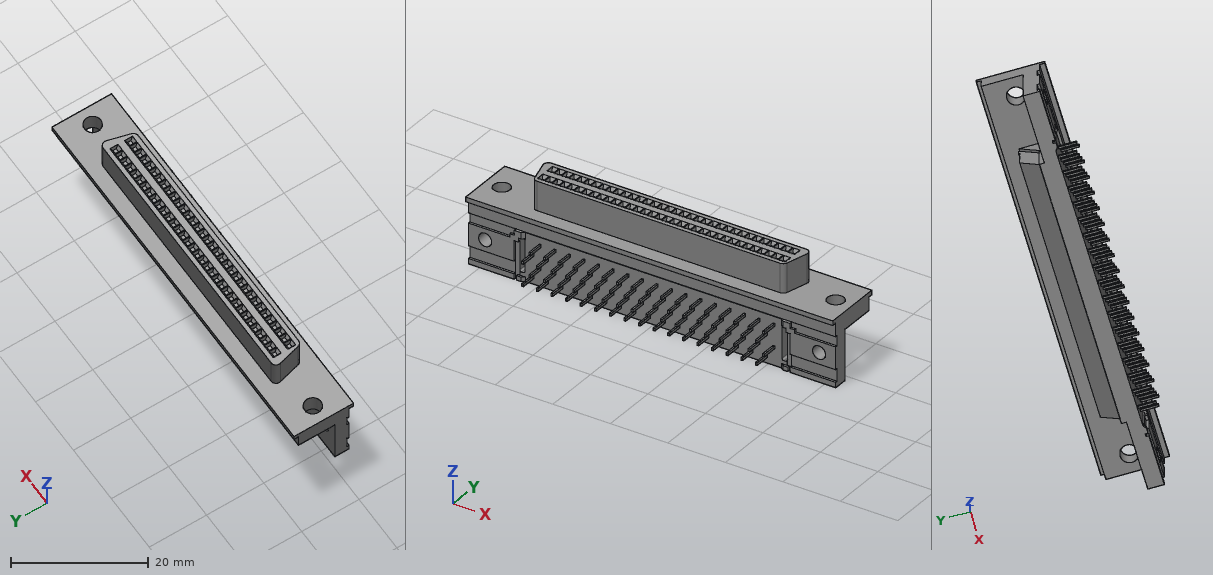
import cadquery as cq
import math


LENGTH = 63.88
HEIGHT = 16.76

FLANGE_DEPTH = 10.41
FLANGE_TOP = 11.76
FLANGE_THICKNESS = 0.79
LIP_OVERHANG = 0.77
BLOCK_BOTTOM = 8.68
BLOCK_DEPTH = FLANGE_DEPTH - 2 * LIP_OVERHANG
FRONT = -BLOCK_DEPTH / 2
SCREW_HOLE_X = 29.04
FLANGE_HOLE_DIAMETER = 2.8

SHELL_HALF_LENGTH = 23.0
SHELL_DEPTH = 5.44
SHELL_SIDE_ANGLE = math.radians(15)
SHELL_CORNER_RADIUS = 0.84

PITCH = 1.27
COLUMNS = 34
CONTACT_ROW_SPACING = 2 * PITCH
MOUTH_WIDTH = 1.12
MOUTH_DEPTH = 1.4
FLOOR_WIDTH = 0.75
FLOOR_DEPTH = 0.58
CONTACT_RECESS = 0.6

PIN_WIDTH = 0.3
PIN_HEIGHT = 0.46
PIN_PROJECTION = 1.63
PIN_TIP = -FLANGE_DEPTH / 2 - PIN_PROJECTION
PIN_EMBED = 0.5
PIN_ROWS = 4
PIN_ROW_SPACING = 1.905
LOWEST_PIN_Z = 1.23

STEP = 0.38
RECESSED_FRONT = FRONT + STEP
EAR_INNER_X = 24.0
EAR_BACK = -1.92
EAR_HOLE_DIAMETER = 2.25
EAR_HOLE_Z = 5.05
EAR_LOWER_RECESS = (0.94, 3.08)
EAR_UPPER_RECESS_Z = 6.95
EAR_TAB_Z = 7.5
EAR_TAB_WIDTH = 0.75

LINK_TOP = 8.33
SLOT_INNER_X = 22.36
SLOT_OUTER_X = 23.26
SLOT_BOTTOM = 1.39
SLOT_TOP = 7.25
SLOT_CORNER_RADIUS = 0.3
LINK_RECESS_DEPTH = 0.43
LINK_RECESS_TOP = 6.58
RAMP_INNER_X = 22.25
RAMP_OUTER_X = 22.78
LOWER_BRIDGE_TOP = 0.77
LOWER_BRIDGE_OUTER_X = 23.6

BODY_HALF_LENGTH = 21.05
END_WALL_THICKNESS = 0.4
BODY_BACK = -1.15
BODY_REAR = 1.93
GUSSET_FOOT_Z = 5.7
REAR_CHAMFER_TOP = 3.9
REAR_CHAMFER_BOTTOM = 0.92
REAR_LEDGE = 0.19
REAR_LEDGE_BOTTOM = 7.87


def box(x_range, y_range, z_range):
    """Axis-aligned box between the given limits."""
    size = [high - low for low, high in (x_range, y_range, z_range)]
    return cq.Workplane("XY").box(*size, centered=False).translate((x_range[0], y_range[0], z_range[0]))


def both_ends(shape):
    """The shape and its mirror image at the other end of the connector."""
    return shape.union(shape.mirror("YZ"))


def extrude_along_x(points, half_length):
    """Y-Z profile extruded evenly to both sides of X = 0."""
    return cq.Workplane("YZ").polyline(points).close().extrude(half_length, both=True)


def make_flange():
    half_length = LENGTH / 2
    half_depth = FLANGE_DEPTH / 2
    lip_bottom = FLANGE_TOP - FLANGE_THICKNESS
    lip = box((-half_length, half_length), (-half_depth, half_depth), (lip_bottom, FLANGE_TOP))
    block = box((-half_length, half_length), (FRONT, -FRONT), (BLOCK_BOTTOM, lip_bottom))
    return lip.union(block)


def make_shell():
    corner_run = SHELL_CORNER_RADIUS / math.tan(math.pi / 4 - SHELL_SIDE_ANGLE / 2)
    wide = SHELL_HALF_LENGTH - SHELL_CORNER_RADIUS + corner_run
    narrow = wide - SHELL_DEPTH * math.tan(SHELL_SIDE_ANGLE)
    half_depth = SHELL_DEPTH / 2
    outline = [(-narrow, -half_depth), (narrow, -half_depth), (wide, half_depth), (-wide, half_depth)]
    shell = cq.Workplane("XY").workplane(offset=FLANGE_TOP).polyline(outline).close()
    return shell.extrude(HEIGHT - FLANGE_TOP).edges("|Z").fillet(SHELL_CORNER_RADIUS)


def make_contact_openings():
    """Two rows of funnel-shaped contact openings."""
    row_length = (COLUMNS - 1) * PITCH
    centers = [
        (column * PITCH - row_length / 2, side * CONTACT_ROW_SPACING / 2)
        for column in range(COLUMNS)
        for side in (-1, 1)
    ]
    funnel = (
        cq.Workplane("XY")
        .rect(MOUTH_WIDTH, MOUTH_DEPTH)
        .workplane(offset=-CONTACT_RECESS)
        .rect(FLOOR_WIDTH, FLOOR_DEPTH)
        .loft()
        .val()
    )
    return cq.Compound.makeCompound([funnel.moved(cq.Location(cq.Vector(x, y, HEIGHT))) for x, y in centers])


def make_ears():
    outer = LENGTH / 2
    ear = box((EAR_INNER_X, outer), (FRONT, EAR_BACK), (0, BLOCK_BOTTOM))
    ear = ear.cut(box((EAR_INNER_X, outer), (FRONT, RECESSED_FRONT), EAR_LOWER_RECESS))
    tab_end = EAR_INNER_X + EAR_TAB_WIDTH
    ear = ear.cut(box((tab_end, outer), (FRONT, RECESSED_FRONT), (EAR_UPPER_RECESS_Z, BLOCK_BOTTOM)))
    ear = ear.cut(box((EAR_INNER_X, tab_end), (FRONT, RECESSED_FRONT), (EAR_TAB_Z, BLOCK_BOTTOM)))
    hole = cq.Workplane("XZ").center(SCREW_HOLE_X, EAR_HOLE_Z).circle(EAR_HOLE_DIAMETER / 2)
    return both_ends(ear.cut(hole.extrude(BLOCK_DEPTH, both=True)))


def make_bridge(outer_x, bottom, top):
    """Raised strip on a link, ramping down to the face of the pin body."""
    outline = [
        (RAMP_INNER_X, RECESSED_FRONT),
        (RAMP_OUTER_X, FRONT),
        (outer_x, FRONT),
        (outer_x, RECESSED_FRONT),
    ]
    return cq.Workplane("XY").workplane(offset=bottom).polyline(outline).close().extrude(top - bottom)


def make_links():
    link = box((BODY_HALF_LENGTH, EAR_INNER_X), (RECESSED_FRONT, EAR_BACK), (0, LINK_TOP))
    recess = box(
        (SLOT_OUTER_X, EAR_INNER_X), (FRONT, FRONT + LINK_RECESS_DEPTH), (LOWER_BRIDGE_TOP, LINK_RECESS_TOP)
    )
    corner = box((LOWER_BRIDGE_OUTER_X, EAR_INNER_X), (FRONT, FRONT + LINK_RECESS_DEPTH), (0, LOWER_BRIDGE_TOP))
    link = link.union(make_bridge(EAR_INNER_X, SLOT_TOP, LINK_TOP))
    link = link.union(box((SLOT_OUTER_X, EAR_INNER_X), (FRONT, RECESSED_FRONT), (LINK_RECESS_TOP, SLOT_TOP)))
    link = link.union(make_bridge(LOWER_BRIDGE_OUTER_X, 0, LOWER_BRIDGE_TOP))
    slot = box((SLOT_INNER_X, SLOT_OUTER_X), (FRONT, EAR_BACK), (SLOT_BOTTOM, SLOT_TOP))
    slot = slot.edges("|Y").fillet(SLOT_CORNER_RADIUS)
    return both_ends(link.cut(recess).cut(corner).cut(slot))


def make_body():
    end_profile = [
        (RECESSED_FRONT, 0),
        (BODY_BACK, 0),
        (BODY_BACK, GUSSET_FOOT_Z),
        (BODY_REAR, BLOCK_BOTTOM),
        (RECESSED_FRONT, BLOCK_BOTTOM),
    ]
    core_profile = [
        (BODY_BACK, REAR_CHAMFER_BOTTOM),
        (BODY_REAR, REAR_CHAMFER_TOP),
        (BODY_REAR, REAR_LEDGE_BOTTOM),
        (BODY_REAR + REAR_LEDGE, REAR_LEDGE_BOTTOM),
        (BODY_REAR + REAR_LEDGE, BLOCK_BOTTOM),
        (BODY_BACK, BLOCK_BOTTOM),
    ]
    body = extrude_along_x(end_profile, BODY_HALF_LENGTH)
    body = body.union(extrude_along_x(core_profile, BODY_HALF_LENGTH - END_WALL_THICKNESS))
    groove = box(
        (-BODY_HALF_LENGTH, BODY_HALF_LENGTH),
        (RECESSED_FRONT, RECESSED_FRONT + STEP),
        (LINK_TOP, BLOCK_BOTTOM),
    )
    return body.cut(groove)


def make_pins():
    """Four staggered rows of pins, one pin per contact column in every second row."""
    last_x = (COLUMNS - 1) * PITCH / 2
    pins = []
    for row in range(PIN_ROWS):
        z = LOWEST_PIN_Z + row * PIN_ROW_SPACING
        for column in range(row % 2, COLUMNS, 2):
            x = column * PITCH - last_x
            pin = box(
                (x - PIN_WIDTH / 2, x + PIN_WIDTH / 2),
                (PIN_TIP, RECESSED_FRONT + PIN_EMBED),
                (z - PIN_HEIGHT / 2, z + PIN_HEIGHT / 2),
            )
            pins.append(pin.val())
    return cq.Compound.makeCompound(pins)


def make_flange_holes():
    holes = cq.Workplane("XY").workplane(offset=BLOCK_BOTTOM)
    holes = holes.pushPoints([(-SCREW_HOLE_X, 0), (SCREW_HOLE_X, 0)])
    return holes.circle(FLANGE_HOLE_DIAMETER / 2).extrude(FLANGE_TOP - BLOCK_BOTTOM)


housing = make_flange().union(make_shell())
housing = housing.union(make_ears()).union(make_links()).union(make_body())
housing = housing.cut(make_flange_holes()).cut(cq.Workplane(make_contact_openings()))
result = housing.union(cq.Workplane(make_pins()))